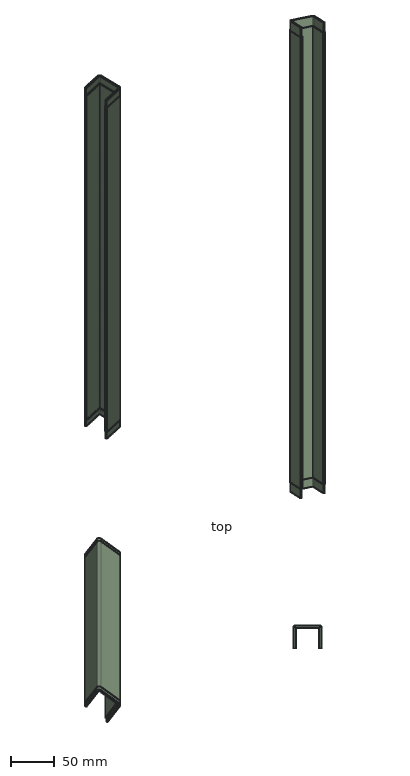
import cadquery as cq

width = 33.0
depth = 26.5
length = 580.5

outer_liner_wall = 0.3
core_wall = 2.05
inner_liner_wall = 1.0
core_inner_radius = 1.0
end_setback = 11.5

smallest_radius = 0.05

liner_length = length - 2 * end_setback
core_inner_inset = outer_liner_wall + core_wall


def rounded_block(inset, height):
    """Block inset from the sides and back of the envelope, with concentric rounded back corners.

    Its front stays flush with the leg tips. The corners are sharp where the bend has no radius left.
    """
    block = cq.Workplane("XY").box(width - 2 * inset, depth - inset, height).translate((0, -inset / 2, 0))
    corner_radius = core_inner_radius + core_inner_inset - inset
    if corner_radius < smallest_radius:
        return block
    return block.edges("|Z and >Y").fillet(corner_radius)


def channel(inset, wall, height):
    """U-shaped layer, open towards -Y, whose outside lies inset from the envelope."""
    return rounded_block(inset, height).cut(rounded_block(inset + wall, height))


core = channel(outer_liner_wall, core_wall, length)

outer_liner = channel(0, outer_liner_wall, liner_length)

inner_liner = channel(core_inner_inset, inner_liner_wall, liner_length)

result = cq.Compound.makeCompound([core.val(), outer_liner.val(), inner_liner.val()])